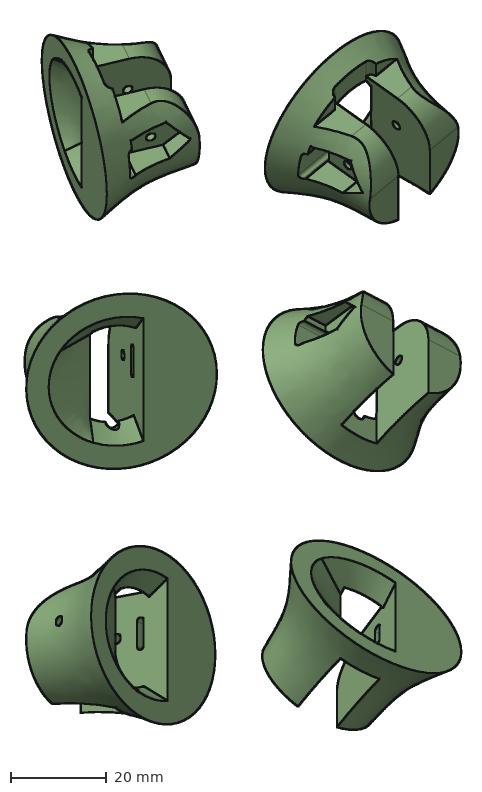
import cadquery as cq
import math

length = 23.0
flange_depth = 6.3
body_sections = [
    (0.0, 21.0, 18.755),
    (flange_depth, 17.55, 16.15),
    (12.0, 15.25, 14.7),
    (17.47, 14.25, 13.7),
    (length, 13.65, 13.0),
]
oversize = 50.4

slot_half = 4.8

arm_top = 11.2
arm_radius = 9.25
pin_diameter = 2.05
pin_depth = 13.45
pin_height = 2.25

mouth_half_width = 16.05
mouth_half_height = 13.78
throat_crown = 10.1
throat_corner = 9.05
upper_break_x = -13.45
lower_break_x = -6.2
arc_steps = 6

notch_radius = 1.43
notch_floor = 4.87
groove_radius = 1.45
groove_height = -9.85

pocket_bottom = -0.85
pocket_top = 7.55
pocket_front = 7.35
pocket_back = 16.13
pocket_tip = 21.0
pocket_tip_height = 2.5
pocket_inner_x = 10.1
slit_width = 1.75
slit_radius = 0.85
slit_bottom = -1.05
slit_top = 5.9


def box(x_range, y_range, z_range):
    """Box between the given coordinate limits."""
    sizes = [high - low for low, high in (x_range, y_range, z_range)]
    corner = (x_range[0], y_range[0], z_range[0])
    return cq.Workplane("XY").box(*sizes, centered=False).translate(corner)


def plane_at(depth):
    """Workplane parallel to the front face, at a given depth."""
    return cq.Workplane("XZ", origin=(0, depth, 0))


def flared_body():
    rings = [plane_at(y).ellipse(a, b).wires().val() for y, a, b in body_sections]
    return cq.Workplane(cq.Solid.makeLoft(rings))


def mouth_point(angle):
    return (mouth_half_width * math.cos(angle), mouth_half_height * math.sin(angle))


def mouth_wire():
    """Ellipse segment in four edges, cut off flat at the slot's +X wall."""
    right = math.acos(slot_half / mouth_half_width)
    upper = math.acos(upper_break_x / mouth_half_width)
    lower = 2 * math.pi - math.acos(lower_break_x / mouth_half_width)
    end = 2 * math.pi - right
    outline = plane_at(0).moveTo(*mouth_point(right))
    for start, stop in ((right, upper), (upper, lower), (lower, end)):
        step = (stop - start) / arc_steps
        points = [mouth_point(start + step * i) for i in range(1, arc_steps + 1)]
        outline = outline.spline(points, includeCurrent=True)
    return outline.close().wires().val()


def throat_wire():
    """Slot-wide opening with a bowed roof and floor."""
    return (
        plane_at(flange_depth)
        .moveTo(slot_half, throat_corner)
        .threePointArc((0, throat_crown), (-slot_half, throat_corner))
        .lineTo(-slot_half, -throat_corner)
        .threePointArc((0, -throat_crown), (slot_half, -throat_corner))
        .close()
        .wires().val()
    )


def cavity():
    return cq.Workplane(cq.Solid.makeLoft([mouth_wire(), throat_wire()], True))


def above_arms():
    """Space over the arms, whose back upper edge is rounded."""
    behind = box((-oversize, oversize), (flange_depth, oversize), (0, oversize))
    arm = box((-oversize, oversize), (0, length), (-oversize, arm_top))
    return behind.cut(arm.edges("|X and >Y and >Z").fillet(arm_radius))


def lip_notch():
    """Rounded notch in the back edge of the upper lip."""
    half = slot_half + notch_radius
    notch = box((-half, half), (notch_floor, length), (0, oversize))
    return notch.edges("|Z and <Y").fillet(notch_radius)


def lip_groove():
    """Round groove through the lower lip."""
    return plane_at(0).center(0, groove_height).circle(groove_radius).extrude(-flange_depth)


def pin_hole():
    return (
        cq.Workplane("YZ")
        .center(pin_depth, pin_height)
        .circle(pin_diameter / 2)
        .extrude(oversize / 2, both=True)
    )


def side_pocket():
    """Outer pocket whose back end narrows to a point."""
    outline = [
        (pocket_front, pocket_bottom),
        (pocket_back, pocket_bottom),
        (pocket_tip, pocket_tip_height),
        (pocket_back, pocket_top),
        (pocket_front, pocket_top),
    ]
    profile = cq.Workplane("YZ", origin=(pocket_inner_x, 0, 0)).polyline(outline).close()
    return profile.extrude(oversize)


def side_slit():
    """Slit from the slot out through the +X arm, beside the flange."""
    slit_range = (flange_depth, flange_depth + slit_width)
    slit = box((0, oversize), slit_range, (slit_bottom, slit_top))
    return slit.edges("|X").fillet(slit_radius)


slot = box((-slot_half, slot_half), (flange_depth, oversize), (-oversize, oversize))

lip_gap = box((-slot_half, slot_half), (notch_floor, flange_depth), (0, oversize))

upper_lip = box((-oversize, oversize), (0, flange_depth), (arm_top, oversize))

result = (
    flared_body()
    .cut(slot)
    .cut(cavity())
    .cut(above_arms())
    .cut(lip_notch().intersect(upper_lip))
    .cut(lip_gap)
    .cut(lip_groove())
    .cut(pin_hole())
    .cut(side_pocket())
    .cut(side_slit())
)